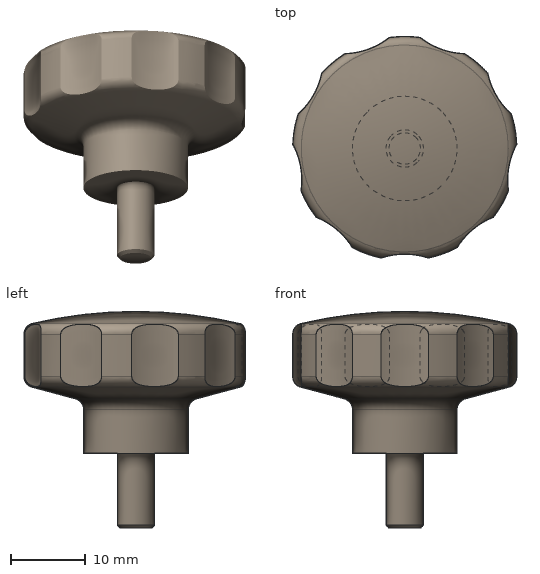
import cadquery as cq
import math

stud_radius = 2.5
stud_length = 10.0
stud_chamfer = 0.4
hub_radius = 7.0
hub_fillet = 1.5

head_radius = 15.0
head_top = 19.0
rim_fillet = 1.5
rim_lower_edge = 10.3
underside_angle = math.radians(15)
dome_radius = 60.0

scallop_count = 9
scallop_radius = 10.0
scallop_valley = 14.15
first_scallop_angle = -90.0


def arc_point(center, radius, angle):
    """Point at an angle (radians) on a circle in the radial section plane."""
    return (center[0] + radius * math.cos(angle), center[1] + radius * math.sin(angle))


def make_body():
    """Revolve the half section of stud, hub, head and dome."""
    fillet_axis_radius = head_radius - rim_fillet

    dome_center = (0, head_top - dome_radius)
    dome_edge_angle = math.acos(fillet_axis_radius / (dome_radius - rim_fillet))
    upper_center = arc_point(dome_center, dome_radius - rim_fillet, dome_edge_angle)
    dome_edge = arc_point(dome_center, dome_radius, dome_edge_angle)
    dome_middle = arc_point(dome_center, dome_radius, (dome_edge_angle + math.pi / 2) / 2)

    lower_center = (fillet_axis_radius, rim_lower_edge)
    rim_start = (head_radius, rim_lower_edge)
    cone_normal = underside_angle - math.pi / 2
    cone_outer = arc_point(lower_center, rim_fillet, cone_normal)

    hub_center_radius = hub_radius + hub_fillet
    cone_inner_radius = hub_center_radius - hub_fillet * math.sin(underside_angle)
    cone_drop = (cone_outer[0] - cone_inner_radius) * math.tan(underside_angle)
    cone_inner = (cone_inner_radius, cone_outer[1] - cone_drop)
    hub_center = (hub_center_radius, cone_inner[1] - hub_fillet * math.cos(underside_angle))
    hub_fillet_middle = arc_point(hub_center, hub_fillet, math.pi + cone_normal / 2)

    section = (
        cq.Workplane("XZ")
        .moveTo(0, -stud_length)
        .lineTo(stud_radius - stud_chamfer, -stud_length)
        .lineTo(stud_radius, stud_chamfer - stud_length)
        .lineTo(stud_radius, 0)
        .lineTo(hub_radius, 0)
        .lineTo(hub_radius, hub_center[1])
        .threePointArc(hub_fillet_middle, cone_inner)
        .lineTo(*cone_outer)
        .threePointArc(arc_point(lower_center, rim_fillet, cone_normal / 2), rim_start)
        .lineTo(head_radius, upper_center[1])
        .threePointArc(arc_point(upper_center, rim_fillet, dome_edge_angle / 2), dome_edge)
        .threePointArc(dome_middle, (0, head_top))
        .close()
    )
    return section.revolve(360, (0, 0), (0, 1))


def make_scallop_cutters():
    """Vertical cylinders that hollow the rim at equal spacing."""
    return (
        cq.Workplane("XY")
        .polarArray(scallop_valley + scallop_radius, first_scallop_angle, 360, scallop_count)
        .circle(scallop_radius)
        .extrude(head_top, combine=False)
    )


result = make_body().cut(make_scallop_cutters())